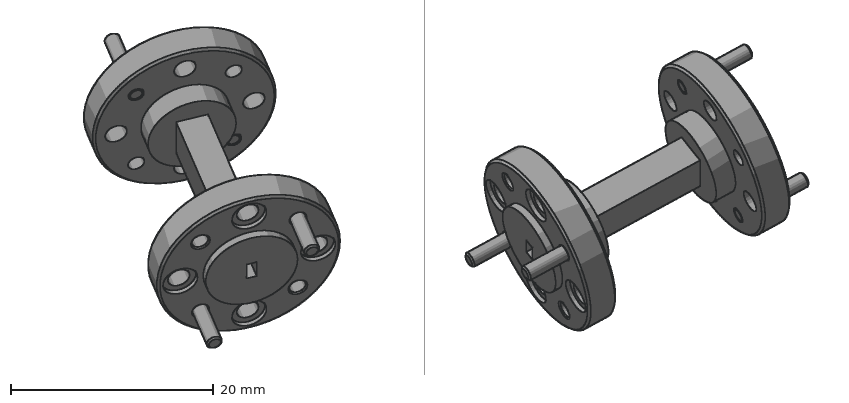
import cadquery as cq
import math

PIN_TIP_X = 16.58
BOSS_FACE_X = 12.75
FLANGE_OUTER_X = 11.97
FLANGE_INNER_X = 8.65
HUB_FACE_X = 6.35

FLANGE_DIAMETER = 19.05
FLANGE_CHAMFER = 0.25
BOSS_DIAMETER = 9.55
HUB_DIAMETER = 9.15

BAR_WIDTH = 3.3
BAR_HEIGHT = 4.55
CHANNEL_WIDTH = 1.03
CHANNEL_HEIGHT = 2.05

BOLT_CIRCLE_RADIUS = 7.15
SCREW_HOLE_DIAMETER = 2.25
COUNTERBORE_DIAMETER = 3.58
COUNTERBORE_DEPTH = 0.5
SCREW_ANGLES = (0, 90, 180, 270)

PIN_DIAMETER = 1.6
PIN_CHAMFER = 0.182
PIN_HOLE_CHAMFER = 0.1
CLEARANCE_DIAMETER = 1.7
CLEARANCE_CHAMFER = 0.15

ENDS = (-1, 1)
PIN_ANGLES = {-1: (135, 315), 1: (45, 225)}
CLEARANCE_ANGLES = {-1: PIN_ANGLES[1], 1: PIN_ANGLES[-1]}


def disc(diameter, x_start, x_end):
    """Round disc about the X axis between two X positions."""
    return cq.Workplane("YZ", origin=(x_start, 0, 0)).circle(diameter / 2).extrude(x_end - x_start)


def bolt_point(angle):
    """Y and Z of a point on the bolt circle, the angle running from +Y towards +Z."""
    turn = math.radians(angle)
    return BOLT_CIRCLE_RADIUS * math.cos(turn), BOLT_CIRCLE_RADIUS * math.sin(turn)


def bolt_rod(diameter, angle, x_start, x_end):
    """Round rod parallel to X, centred on the bolt circle."""
    y, z = bolt_point(angle)
    return disc(diameter, x_start, x_end).translate((0, y, z))


def chamfered_hole(diameter, chamfer, angle, end):
    """Cutter for a hole through the flange, with a chamfer at the outer face."""
    y, z = bolt_point(angle)
    hole = bolt_rod(diameter, angle, end * FLANGE_INNER_X, end * FLANGE_OUTER_X)
    mouth = cq.Solid.makeCone(
        diameter / 2 + chamfer, diameter / 2, chamfer,
        pnt=cq.Vector(end * FLANGE_OUTER_X, y, z), dir=cq.Vector(-end, 0, 0),
    )
    return hole.union(cq.Workplane(mouth))


def make_flange(end):
    """Flange, contact boss and hub at one end, with all bolt circle holes."""
    flange = disc(FLANGE_DIAMETER, end * FLANGE_INNER_X, end * FLANGE_OUTER_X)
    flange = flange.edges().chamfer(FLANGE_CHAMFER)
    flange = flange.union(disc(BOSS_DIAMETER, end * FLANGE_INNER_X, end * BOSS_FACE_X))
    flange = flange.union(disc(HUB_DIAMETER, end * HUB_FACE_X, end * FLANGE_OUTER_X))
    counterbore_floor_x = FLANGE_OUTER_X - COUNTERBORE_DEPTH
    for angle in SCREW_ANGLES:
        flange = flange.cut(bolt_rod(SCREW_HOLE_DIAMETER, angle, end * FLANGE_INNER_X, end * FLANGE_OUTER_X))
        flange = flange.cut(bolt_rod(COUNTERBORE_DIAMETER, angle, end * counterbore_floor_x, end * FLANGE_OUTER_X))
    for angle in PIN_ANGLES[end]:
        flange = flange.cut(chamfered_hole(PIN_DIAMETER, PIN_HOLE_CHAMFER, angle, end))
    for angle in CLEARANCE_ANGLES[end]:
        flange = flange.cut(chamfered_hole(CLEARANCE_DIAMETER, CLEARANCE_CHAMFER, angle, end))
    return flange


def make_waveguide():
    """Bar with a flange at each end and the channel cut through everything."""
    body = cq.Workplane("XY").box(2 * FLANGE_INNER_X, BAR_WIDTH, BAR_HEIGHT)
    for end in ENDS:
        body = body.union(make_flange(end))
    channel = cq.Workplane("XY").box(2 * BOSS_FACE_X, CHANNEL_WIDTH, CHANNEL_HEIGHT)
    return body.cut(channel)


def make_pin(angle, end):
    """Dowel pin, chamfered at both ends, flush with the inner face of its flange."""
    pin = bolt_rod(PIN_DIAMETER, angle, end * FLANGE_INNER_X, end * PIN_TIP_X)
    return pin.edges("%CIRCLE").chamfer(PIN_CHAMFER)


waveguide = make_waveguide()
pins = [make_pin(angle, end) for end in ENDS for angle in PIN_ANGLES[end]]

result = cq.Compound.makeCompound([waveguide.val(), *[pin.val() for pin in pins]])